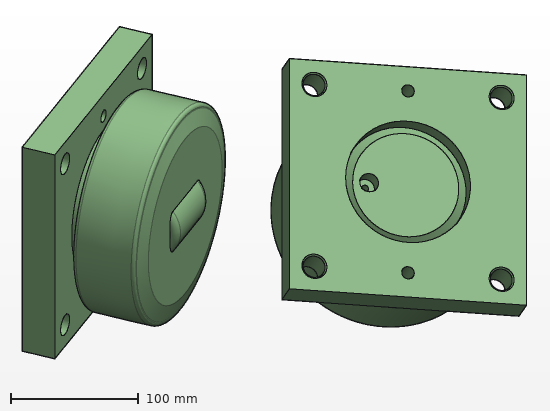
import cadquery as cq
import math

plate_side = 190.0
plate_thickness = 28.0

bolt_pitch = 150.0
bolt_hole_diameter = 17.5
bolt_countersink_diameter = 20.0
pin_hole_diameter = 10.0

neck_diameter = 124.0
neck_length = 12.8

roller_diameter = 180.0
roller_crown_radius = 2000.0
roller_edge_radius = 3.0
roller_start = plate_thickness + neck_length
roller_width = 53.0
roller_end = roller_start + roller_width

cover_end = 97.8
cover_base_radius = 86.0
cover_face_radius = 72.0

overall_length = 104.3
side_roller_radius = 30.0
side_roller_length = 60.0
side_roller_edge_radius = 6.0

recess_diameter = 100.0
recess_depth = 16.0
spindle_taper = 7.5
spindle_end_depth = recess_depth - spindle_taper

port_offset = 29.3
port_diameter = 15.0
port_depth = 15.0
grease_hole_diameter = 5.6
grease_hole_depth = 10.0
drill_point_angle = 118.0


def cylinder_along_x(diameter, start, length, y=0.0, z=0.0):
    return (
        cq.Workplane("YZ", origin=(start, y, z))
        .circle(diameter / 2)
        .extrude(length)
    )


def cone_along_x(start_radius, end_radius, start, length, y=0.0, z=0.0):
    return cq.Workplane(
        cq.Solid.makeCone(
            start_radius, end_radius, length, cq.Vector(start, y, z), cq.Vector(1, 0, 0)
        )
    )


def make_plate():
    return cq.Workplane("YZ").rect(plate_side, plate_side).extrude(plate_thickness)


def make_main_roller():
    half_width = roller_width / 2
    crown_drop = roller_crown_radius - math.sqrt(roller_crown_radius**2 - half_width**2)
    crest_radius = roller_diameter / 2
    side_radius = crest_radius - crown_drop
    roller = (
        cq.Workplane("XY")
        .moveTo(roller_start, 0)
        .lineTo(roller_start, side_radius)
        .threePointArc((roller_start + half_width, crest_radius), (roller_end, side_radius))
        .lineTo(roller_end, 0)
        .close()
        .revolve(360, (0, 0, 0), (1, 0, 0))
    )
    return roller.faces("<X or >X").edges().fillet(roller_edge_radius)


def make_cover():
    return cone_along_x(cover_base_radius, cover_face_radius, roller_end, cover_end - roller_end)


def make_side_roller():
    roller = (
        cq.Workplane("XZ", origin=(overall_length - side_roller_radius, 0, 0))
        .circle(side_roller_radius)
        .extrude(side_roller_length / 2, both=True)
    )
    return roller.faces("<Y or >Y").edges().fillet(side_roller_edge_radius)


def cut_recess(body):
    spindle_end = cone_along_x(
        recess_diameter / 2 - spindle_taper, recess_diameter / 2, spindle_end_depth, spindle_taper
    )
    return body.cut(cylinder_along_x(recess_diameter, 0, recess_depth).cut(spindle_end))


def cut_bolt_holes(body):
    countersink_depth = (bolt_countersink_diameter - bolt_hole_diameter) / 2
    for y in (-bolt_pitch / 2, bolt_pitch / 2):
        for z in (-bolt_pitch / 2, bolt_pitch / 2):
            body = body.cut(cylinder_along_x(bolt_hole_diameter, 0, plate_thickness, y, z))
            body = body.cut(
                cone_along_x(
                    bolt_countersink_diameter / 2, bolt_hole_diameter / 2, 0, countersink_depth, y, z
                )
            )
    return body


def cut_pin_holes(body):
    for z in (-bolt_pitch / 2, bolt_pitch / 2):
        body = body.cut(cylinder_along_x(pin_hole_diameter, 0, plate_thickness, 0, z))
    return body


def cut_grease_port(body):
    port_floor = spindle_end_depth + port_depth
    grease_radius = grease_hole_diameter / 2
    point_length = grease_radius / math.tan(math.radians(drill_point_angle / 2))
    port = cylinder_along_x(port_diameter, spindle_end_depth, port_depth, port_offset)
    grease_hole = cylinder_along_x(grease_hole_diameter, port_floor, grease_hole_depth, port_offset)
    drill_point = cone_along_x(
        grease_radius, 0, port_floor + grease_hole_depth, point_length, port_offset
    )
    return body.cut(port).cut(grease_hole).cut(drill_point)


body = (
    make_plate()
    .union(cylinder_along_x(neck_diameter, plate_thickness, neck_length))
    .union(make_main_roller())
    .union(make_cover())
    .union(make_side_roller())
)
body = cut_recess(body)
body = cut_bolt_holes(body)
body = cut_pin_holes(body)
result = cut_grease_port(body)